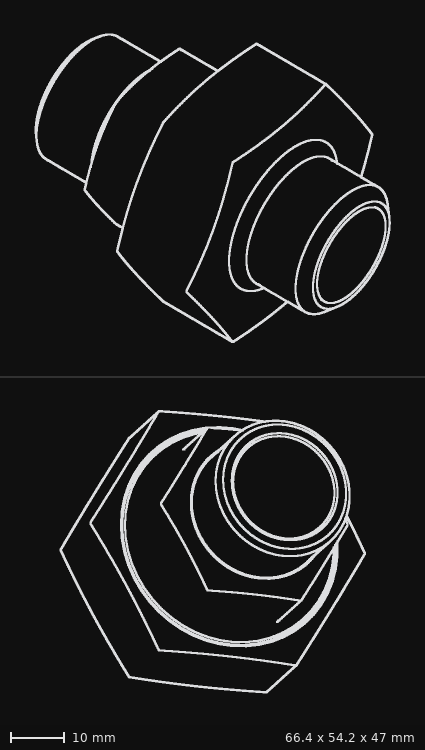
import cadquery as cq
import math

TOTAL_LENGTH = 66.4
POSITION_TOLERANCE = 0.001
BORE_RADIUS = 10.0
BORE_CHAMFER = 0.45

THREAD_RADIUS = 13.25
THREAD_CHAMFER = 1.1
THREAD_LENGTH = 14.5
NECK_RADIUS = 13.45
NECK_FILLET = 0.5

BODY_HEX_FLATS = 32.0
BODY_HEX_START = 16.45
BODY_HEX_FILLET = 0.5

NUT_FLATS = 47.0
NUT_START = 31.2
NUT_END = 49.9

HEX_EDGE_RADIUS = 0.3
HEX_CHAMFER_ANGLE = 15.0
HALF_SIDE_ANGLE = math.pi / 6
CONE_CLEARANCE = 1.0

FLANGE_RADIUS = 21.0
FLANGE_CHAMFER = 0.4
NUT_MOUTH_RADIUS = 21.2
NUT_MOUTH_CHAMFER = 0.2
GROOVE_DEPTH = 1.0

WELD_RADIUS = 13.5
SHOULDER_LENGTH = 2.3
WELD_BEVEL = 2.3


def revolve_about_x(points):
    """Solid of revolution about X from (x, radius) points."""
    profile = cq.Workplane("XY").polyline(points).close()
    return profile.revolve(360, (0, 0, 0), (1, 0, 0))


def hexagon(start, end, flats):
    """Hexagonal bar along X with flats facing +Z and -Z and rounded long edges."""
    corner_diameter = flats / math.cos(HALF_SIDE_ANGLE)
    bar = cq.Workplane("YZ", origin=(start, 0, 0)).polygon(6, corner_diameter).extrude(end - start)
    return bar.edges("|X").fillet(HEX_EDGE_RADIUS)


def corner_cone(start, end, flats, chamfer_end):
    """Turned envelope that bevels the hexagon corners at the start, and at the end if asked."""
    inner = flats / 2
    outer = flats / math.cos(HALF_SIDE_ANGLE) / 2 + CONE_CLEARANCE
    slope = (outer - inner) * math.tan(math.radians(HEX_CHAMFER_ANGLE))
    points = [(start, 0), (start, inner), (start + slope, outer)]
    if chamfer_end:
        points += [(end - slope, outer), (end, inner)]
    else:
        points += [(end, outer)]
    return revolve_about_x(points + [(end, 0)])


def threaded_end():
    plain = revolve_about_x([
        (0, 0),
        (0, THREAD_RADIUS - THREAD_CHAMFER),
        (THREAD_CHAMFER, THREAD_RADIUS),
        (THREAD_LENGTH, THREAD_RADIUS),
        (THREAD_LENGTH, 0),
    ])
    fillet_start = BODY_HEX_START - NECK_FILLET
    fillet_offset = NECK_FILLET * math.sqrt(0.5)
    neck = (
        cq.Workplane("XY")
        .moveTo(THREAD_LENGTH, 0)
        .lineTo(THREAD_LENGTH, NECK_RADIUS)
        .lineTo(fillet_start, NECK_RADIUS)
        .threePointArc(
            (fillet_start + fillet_offset, NECK_RADIUS + NECK_FILLET - fillet_offset),
            (BODY_HEX_START, NECK_RADIUS + NECK_FILLET),
        )
        .lineTo(BODY_HEX_START, 0)
        .close()
        .revolve(360, (0, 0, 0), (1, 0, 0))
    )
    return plain.union(neck)


def is_hexagon_root(edge):
    """True for edges where the body hexagon meets the flange face; the flange rim centres on the axis."""
    centre = edge.Center()
    on_flange_face = math.isclose(centre.x, NUT_START, abs_tol=POSITION_TOLERANCE)
    return on_flange_face and math.hypot(centre.y, centre.z) > NECK_RADIUS


def body_hexagon():
    """Hexagon running into the flange face with a small fillet."""
    hexagon_bar = hexagon(BODY_HEX_START, NUT_START, BODY_HEX_FLATS)
    bevelled = hexagon_bar.intersect(corner_cone(BODY_HEX_START, NUT_START, BODY_HEX_FLATS, False))
    flange = revolve_about_x([
        (NUT_START, 0),
        (NUT_START, FLANGE_RADIUS - FLANGE_CHAMFER),
        (NUT_START + FLANGE_CHAMFER, FLANGE_RADIUS),
        (NUT_START + GROOVE_DEPTH, FLANGE_RADIUS),
        (NUT_START + GROOVE_DEPTH, 0),
    ])
    joined = bevelled.union(flange)
    root_edges = joined.edges().filter(is_hexagon_root)
    return root_edges.fillet(BODY_HEX_FILLET)


def union_nut():
    """Nut with bevelled corners and a shallow chamfered mouth around the flange."""
    nut = hexagon(NUT_START, NUT_END, NUT_FLATS)
    nut = nut.intersect(corner_cone(NUT_START, NUT_END, NUT_FLATS, True))
    mouth = revolve_about_x([
        (NUT_START, 0),
        (NUT_START, NUT_MOUTH_RADIUS + NUT_MOUTH_CHAMFER),
        (NUT_START + NUT_MOUTH_CHAMFER, NUT_MOUTH_RADIUS),
        (NUT_START + GROOVE_DEPTH, NUT_MOUTH_RADIUS),
        (NUT_START + GROOVE_DEPTH, 0),
    ])
    return nut.cut(mouth)


def weld_end():
    return revolve_about_x([
        (NUT_END, 0),
        (NUT_END, WELD_RADIUS + SHOULDER_LENGTH),
        (NUT_END + SHOULDER_LENGTH, WELD_RADIUS),
        (TOTAL_LENGTH - WELD_BEVEL, WELD_RADIUS),
        (TOTAL_LENGTH, WELD_RADIUS - WELD_BEVEL),
        (TOTAL_LENGTH, 0),
    ])


def through_bore():
    """Bore along the whole part, chamfered at the threaded end."""
    return revolve_about_x([
        (0, 0),
        (0, BORE_RADIUS + BORE_CHAMFER),
        (BORE_CHAMFER, BORE_RADIUS),
        (TOTAL_LENGTH, BORE_RADIUS),
        (TOTAL_LENGTH, 0),
    ])


result = threaded_end().union(body_hexagon()).union(union_nut()).union(weld_end()).cut(through_bore())